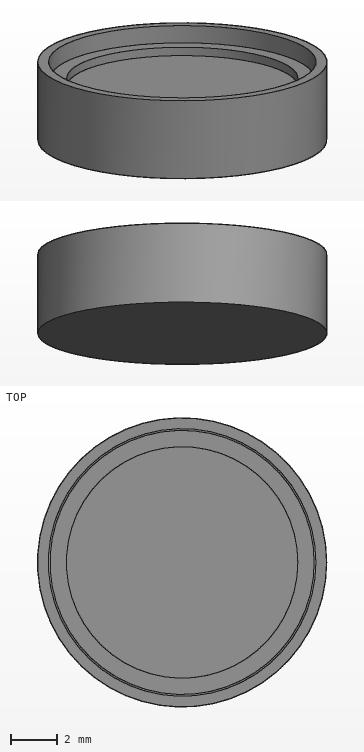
import cadquery as cq

housing_diameter = 12.5
housing_height = 3.5
bore_diameter = 11.56
floor_thickness = 0.5

window_top = 2.38

ring_gap = 0.08
ring_inner_diameter = 10.0
ring_top = 2.75

insert_diameter = bore_diameter - 2 * ring_gap


def cylinder(diameter, bottom, top):
    """Upright cylinder on the Z axis between two heights."""
    return cq.Workplane("XY").workplane(offset=bottom).circle(diameter / 2).extrude(top - bottom)


def make_housing():
    """Cup with a closed floor."""
    body = cylinder(housing_diameter, 0, housing_height)
    return body.cut(cylinder(bore_diameter, floor_thickness, housing_height))


def make_window():
    """Plain disc resting on the housing floor."""
    return cylinder(insert_diameter, floor_thickness, window_top)


def make_retaining_ring():
    """Flat ring resting on the rim of the window."""
    body = cylinder(insert_diameter, window_top, ring_top)
    return body.cut(cylinder(ring_inner_diameter, window_top, ring_top))


housing = make_housing()
window = make_window()
retaining_ring = make_retaining_ring()

result = cq.Compound.makeCompound([housing.val(), window.val(), retaining_ring.val()])